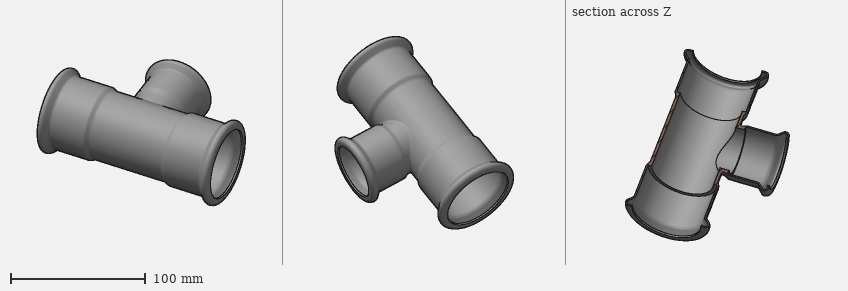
import cadquery as cq
import math

run_length = 142.0
overall_depth = 97.0
bead_radius = 3.1
bead_root_fillet = 1.8
bead_slope = math.radians(45)
step_length = 3.4
step_outer_fillet = 1.8
step_inner_fillet = 2.5
junction_fillet = 1.5
pick_margin = 0.1

run_bead_radius = 66.0 / 2
branch_reach = overall_depth - run_bead_radius
run_socket_radius = 57.0 / 2
run_tube_radius = 53.4 / 2
run_socket_depth = 37.6

branch_bead_radius = 53.8 / 2
branch_socket_radius = 45.0 / 2
branch_tube_radius = 20.7
branch_socket_depth = 32.5

socket_wall = 1.5
tube_wall = 2.5


def bead_arc(profile, center_r, radius, socket_r):
    """Add the bead's arc and its slope down to socket_r; return the profile and the slope's end in Z."""
    slope_start_r = center_r + radius * math.sin(bead_slope)
    slope_start_z = bead_radius + radius * math.cos(bead_slope)
    slope_end_z = slope_start_z + (slope_start_r - socket_r) / math.tan(bead_slope)
    profile = profile.threePointArc(
        (center_r + radius, bead_radius), (slope_start_r, slope_start_z)
    ).lineTo(socket_r, slope_end_z)
    return profile, slope_end_z


def revolve_profile(profile):
    """Close a half profile on the Z axis and spin it into a solid."""
    return profile.close().revolve(360, (0, 0, 0), (0, 1, 0))


def round_ring(body, height, reach, radius):
    """Round the circular edge at the given height."""
    ring = cq.selectors.BoxSelector(
        (-reach, -reach, height - pick_margin),
        (reach, reach, height + pick_margin),
        boundingbox=True,
    )
    return body.edges(ring).fillet(radius)


def end_body(bead_r, socket_r, tube_r, socket_depth, length):
    """Solid fitting end about Z, mouth at Z = 0, extending toward +Z."""
    bead_center_r = bead_r - bead_radius
    step_end = socket_depth + step_length
    profile = cq.Workplane("XZ").lineTo(bead_center_r, 0)
    profile, slope_end = bead_arc(profile, bead_center_r, bead_radius, socket_r)
    profile = (
        profile.lineTo(socket_r, socket_depth)
        .lineTo(tube_r, step_end)
        .lineTo(tube_r, length)
        .lineTo(0, length)
    )
    body = revolve_profile(profile)
    body = round_ring(body, slope_end, bead_r, bead_root_fillet)
    body = round_ring(body, socket_depth, bead_r, step_outer_fillet)
    return round_ring(body, step_end, bead_r, step_inner_fillet)


def end_bore(bead_r, socket_r, tube_r, socket_depth, length):
    """Bore of a fitting end: mouth lip, groove inside the bead, socket, flat stop and tube."""
    bead_center_r = bead_r - bead_radius
    socket_bore_r = socket_r - socket_wall
    tube_bore_r = tube_r - tube_wall
    profile = (
        cq.Workplane("XZ")
        .lineTo(socket_bore_r, 0)
        .lineTo(socket_bore_r, socket_wall)
        .lineTo(bead_center_r, socket_wall)
    )
    profile, slope_end = bead_arc(profile, bead_center_r, bead_radius - socket_wall, socket_bore_r)
    profile = (
        profile.lineTo(socket_bore_r, socket_depth)
        .lineTo(tube_bore_r, socket_depth)
        .lineTo(tube_bore_r, length)
        .lineTo(0, length)
    )
    return round_ring(revolve_profile(profile), slope_end, bead_r, bead_root_fillet + socket_wall)


def place_left(shape):
    """Turn a fitting end so that its mouth faces -X at the end of the run."""
    return shape.rotate((0, 0, 0), (0, 1, 0), 90).translate((-run_length / 2, 0, 0))


def place_branch(shape):
    """Turn a fitting end so that its mouth faces +Y at the end of the branch."""
    return shape.rotate((0, 0, 0), (1, 0, 0), 90).translate((0, branch_reach, 0))


def both_ends(left):
    """Join a left half of the run to its mirror image."""
    return left.union(left.mirror("YZ")).clean()


run_sizes = (run_bead_radius, run_socket_radius, run_tube_radius, run_socket_depth, run_length / 2)
branch_sizes = (
    branch_bead_radius, branch_socket_radius, branch_tube_radius, branch_socket_depth, branch_reach
)
run_body = both_ends(place_left(end_body(*run_sizes)))
branch_body = place_branch(end_body(*branch_sizes))
run_bore = both_ends(place_left(end_bore(*run_sizes)))
branch_bore = place_branch(end_bore(*branch_sizes))

saddle = cq.selectors.BoxSelector(
    (-branch_tube_radius - pick_margin, 0, -branch_tube_radius - pick_margin),
    (branch_tube_radius + pick_margin, run_tube_radius + pick_margin, branch_tube_radius + pick_margin),
    boundingbox=True,
)
body = run_body.union(branch_body).edges(saddle).fillet(junction_fillet)
result = body.cut(run_bore).cut(branch_bore)